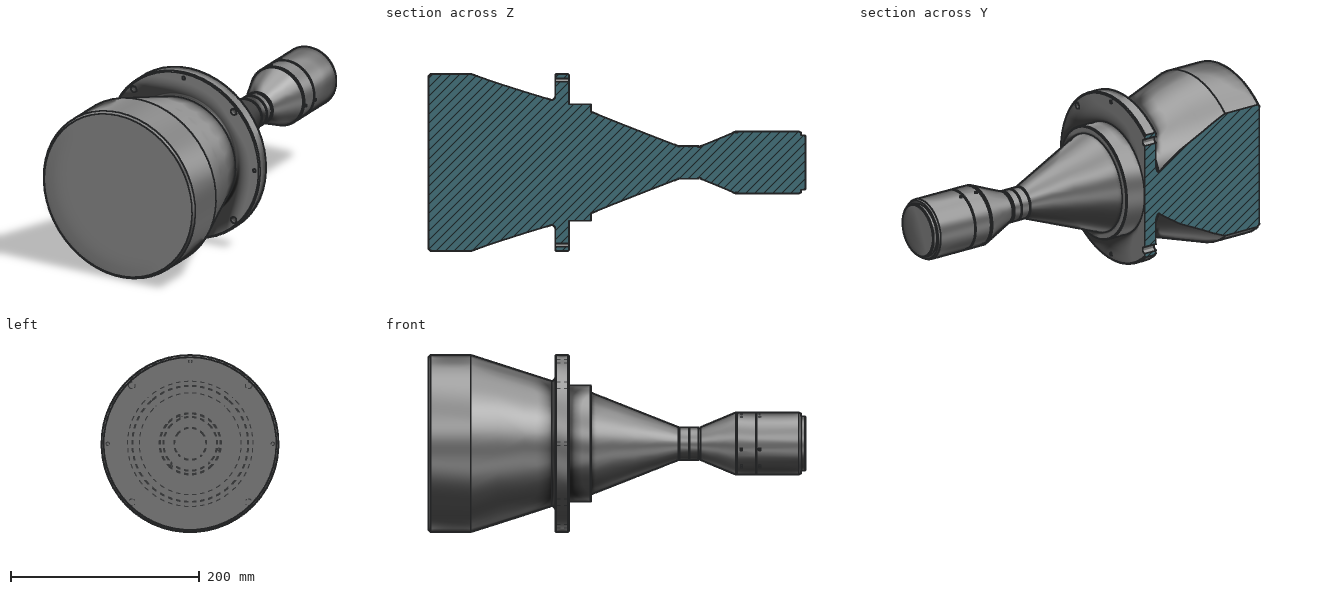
import cadquery as cq
import math

TOTAL_LENGTH = 399.7

CUT_OVERSHOOT = 1.0

FRONT_RADIUS = 94.0
FRONT_CHAMFER = 2.5
FRONT_END_X = 45.0
FRONT_CONE_END_X = 130.5
FRONT_CONE_END_RADIUS = 66.5

FLANGE_RADIUS = 94.0
FLANGE_X = 134.2
FLANGE_THICKNESS = 15.0
FLANGE_CHAMFER = 1.3
HUB_RADIUS = 62.0
HUB_END_X = 172.5
HUB_CHAMFER = 1.0

MIDDLE_CONE_RADIUS = 54.0
NECK_RADIUS = 17.5
NECK_X = 265.0
NECK_END_X = 288.5

REAR_RADIUS = 33.0
REAR_X = 325.5
REAR_END_X = 395.0
REAR_CHAMFER_LENGTH = 2.5
REAR_CHAMFER_DEPTH = 1.3
MOUNT_RADIUS = 29.0
MOUNT_CHAMFER = 1.0

GROOVES = (
    (265.0, 1.2, NECK_RADIUS - 0.5),
    (276.0, 1.0, NECK_RADIUS - 0.5),
    (285.8, 2.4, NECK_RADIUS - 1.0),
    (325.5, 2.0, REAR_RADIUS - 1.0),
    (347.0, 1.2, REAR_RADIUS - 0.3),
)

FLANGE_HOLE_CIRCLE_RADIUS = 87.5
FLANGE_HOLE_COUNT = 4
BOLT_HOLE_DIAMETER = 7.0
BOLT_HOLE_START_ANGLE = 45.0
PIN_HOLE_DIAMETER = 3.5
PIN_HOLE_START_ANGLE = 0.0

SCREW_HOLE_XS = (331.5, 351.0)
SCREW_HOLE_COUNT = 3
SCREW_HOLE_DIAMETER = 2.5
SCREW_HOLE_DEPTH = 3.0
SCREW_HOLE_START_ANGLE = 71.0


def make_body():
    """Revolve the whole outer profile, drawn as (x, radius), about the X axis."""
    flange_end_x = FLANGE_X + FLANGE_THICKNESS
    fillet_radius = FLANGE_X - FRONT_CONE_END_X
    fillet_offset = fillet_radius * math.sqrt(0.5)
    fillet_mid = (
        FRONT_CONE_END_X + fillet_offset,
        FRONT_CONE_END_RADIUS + fillet_radius - fillet_offset,
    )
    profile = (
        cq.Workplane("XZ")
        .lineTo(0, FRONT_RADIUS - FRONT_CHAMFER)
        .lineTo(FRONT_CHAMFER, FRONT_RADIUS)
        .lineTo(FRONT_END_X, FRONT_RADIUS)
        .lineTo(FRONT_CONE_END_X, FRONT_CONE_END_RADIUS)
        .threePointArc(fillet_mid, (FLANGE_X, FRONT_CONE_END_RADIUS + fillet_radius))
        .lineTo(FLANGE_X, FLANGE_RADIUS - FLANGE_CHAMFER)
        .lineTo(FLANGE_X + FLANGE_CHAMFER, FLANGE_RADIUS)
        .lineTo(flange_end_x - FLANGE_CHAMFER, FLANGE_RADIUS)
        .lineTo(flange_end_x, FLANGE_RADIUS - FLANGE_CHAMFER)
        .lineTo(flange_end_x, HUB_RADIUS)
        .lineTo(HUB_END_X - HUB_CHAMFER, HUB_RADIUS)
        .lineTo(HUB_END_X, HUB_RADIUS - HUB_CHAMFER)
        .lineTo(HUB_END_X, MIDDLE_CONE_RADIUS)
        .lineTo(NECK_X, NECK_RADIUS)
        .lineTo(NECK_END_X, NECK_RADIUS)
        .lineTo(REAR_X, REAR_RADIUS)
        .lineTo(REAR_END_X - REAR_CHAMFER_LENGTH, REAR_RADIUS)
        .lineTo(REAR_END_X, REAR_RADIUS - REAR_CHAMFER_DEPTH)
        .lineTo(REAR_END_X, MOUNT_RADIUS)
        .lineTo(TOTAL_LENGTH - MOUNT_CHAMFER, MOUNT_RADIUS)
        .lineTo(TOTAL_LENGTH, MOUNT_RADIUS - MOUNT_CHAMFER)
        .lineTo(TOTAL_LENGTH, 0)
        .close()
    )
    return profile.revolve(360, (0, 0, 0), (1, 0, 0))


def make_groove(start_x, width, bottom_radius):
    """Ring that cuts a square groove down to bottom_radius."""
    return (
        cq.Workplane("YZ", origin=(start_x, 0, 0))
        .circle(REAR_RADIUS + CUT_OVERSHOOT)
        .circle(bottom_radius)
        .extrude(width)
    )


def make_flange_holes(diameter, start_angle):
    """Evenly spaced pins that cut holes through the flange."""
    return (
        cq.Workplane("YZ", origin=(FLANGE_X, 0, 0))
        .polarArray(FLANGE_HOLE_CIRCLE_RADIUS, start_angle, 360, FLANGE_HOLE_COUNT)
        .circle(diameter / 2)
        .extrude(FLANGE_THICKNESS)
    )


def make_screw_hole(x, angle):
    """Radial pin at an angle from +Y toward +Z, reaching just past the barrel surface."""
    outward = cq.Vector(0, math.cos(math.radians(angle)), math.sin(math.radians(angle)))
    bottom = cq.Vector(x, 0, 0) + outward * (REAR_RADIUS - SCREW_HOLE_DEPTH)
    length = SCREW_HOLE_DEPTH + CUT_OVERSHOOT
    pin = cq.Solid.makeCylinder(SCREW_HOLE_DIAMETER / 2, length, bottom, outward)
    return cq.Workplane(pin)


result = make_body()
for groove in GROOVES:
    result = result.cut(make_groove(*groove))
result = result.cut(make_flange_holes(BOLT_HOLE_DIAMETER, BOLT_HOLE_START_ANGLE))
result = result.cut(make_flange_holes(PIN_HOLE_DIAMETER, PIN_HOLE_START_ANGLE))
for hole_x in SCREW_HOLE_XS:
    for hole_index in range(SCREW_HOLE_COUNT):
        hole_angle = SCREW_HOLE_START_ANGLE + hole_index * 360 / SCREW_HOLE_COUNT
        result = result.cut(make_screw_hole(hole_x, hole_angle))